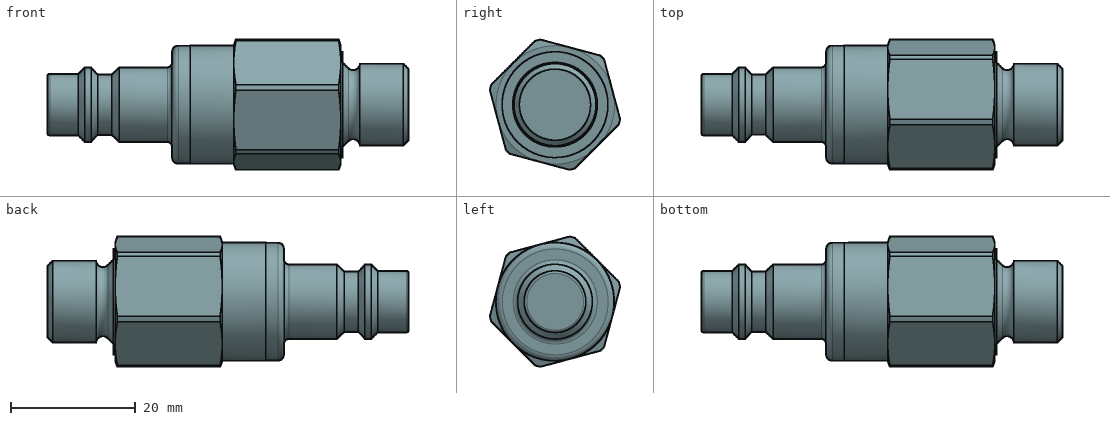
import cadquery as cq
import math

nose_diameter = 9.9
collar_diameter = 12.0
groove_diameter = 9.75
body_front_diameter = 18.95
body_diameter = 19.0
shoulder_diameter = 17.0
thread_diameter = 13.15
relief_diameter = 11.15

nose_end = 5.0
collar_start = 6.05
collar_end = 7.0
groove_start = 8.05
groove_end = 10.3
stem_start = 11.55
body_start = 20.0
body_step = 22.9
hex_start = 29.9
hex_end = 47.1
shoulder_end = 47.4
relief_center = 49.05
total_length = 58

nose_fillet = 0.4
stem_fillet = 0.75
body_fillet = 1.0
thread_chamfer = 0.85
relief_radius = 1.1

across_flats = 19.0
corner_diameter = 21.45
hex_rotation = 15
hex_chamfer_length = 0.35


def axial_cylinder(start, end, diameter):
    return cq.Workplane("YZ").workplane(offset=start).circle(diameter / 2).extrude(end - start)


def make_plug():
    """Turned nose, collar, groove, stem and body, revolved about X."""
    nose = nose_diameter / 2
    collar = collar_diameter / 2
    groove = groove_diameter / 2
    body_front = body_front_diameter / 2
    body = body_diameter / 2
    arc_inset = 1 - math.sqrt(0.5)
    profile = (
        cq.Workplane("XY")
        .lineTo(0, nose - nose_fillet)
        .threePointArc(
            (nose_fillet * arc_inset, nose - nose_fillet * arc_inset),
            (nose_fillet, nose),
        )
        .lineTo(nose_end, nose)
        .lineTo(collar_start, collar)
        .lineTo(collar_end, collar)
        .lineTo(groove_start, groove)
        .lineTo(groove_end, groove)
        .lineTo(stem_start, collar)
        .lineTo(body_start - stem_fillet, collar)
        .threePointArc(
            (body_start - stem_fillet * arc_inset, collar + stem_fillet * arc_inset),
            (body_start, collar + stem_fillet),
        )
        .lineTo(body_start, body_front - body_fillet)
        .threePointArc(
            (body_start + body_fillet * arc_inset, body_front - body_fillet * arc_inset),
            (body_start + body_fillet, body_front),
        )
        .lineTo(body_step, body_front)
        .lineTo(body_step, body)
        .lineTo(hex_start, body)
        .lineTo(hex_start, 0)
        .close()
    )
    return profile.revolve(360, (0, 0, 0), (1, 0, 0))


def make_hex():
    """Hexagon trimmed by a cylinder with a cone at each end."""
    prism = (
        cq.Workplane("YZ")
        .workplane(offset=hex_start)
        .transformed(rotate=(0, 0, 90 + hex_rotation))
        .polygon(6, across_flats / math.cos(math.radians(30)))
        .extrude(hex_end - hex_start)
    )
    corner = corner_diameter / 2
    end_radius = across_flats / 2
    envelope = (
        cq.Workplane("XY")
        .moveTo(hex_start, 0)
        .lineTo(hex_start, end_radius)
        .lineTo(hex_start + hex_chamfer_length, corner)
        .lineTo(hex_end - hex_chamfer_length, corner)
        .lineTo(hex_end, end_radius)
        .lineTo(hex_end, 0)
        .close()
        .revolve(360, (0, 0, 0), (1, 0, 0))
    )
    return prism.intersect(envelope)


def make_thread_end():
    """Plain thread with a rounded relief that runs out in a 45 degree cone at the shoulder."""
    thread = thread_diameter / 2
    relief = relief_diameter / 2
    arc_middle = relief + relief_radius
    diagonal = relief_radius * math.sqrt(0.5)
    cone_end = relief_center - diagonal
    cone_end_radius = arc_middle - diagonal
    thread_start = relief_center + math.sqrt(relief_radius**2 - (arc_middle - thread) ** 2)
    profile = (
        cq.Workplane("XY")
        .moveTo(shoulder_end, 0)
        .lineTo(shoulder_end, cone_end_radius + cone_end - shoulder_end)
        .lineTo(cone_end, cone_end_radius)
        .threePointArc((relief_center, relief), (thread_start, thread))
        .lineTo(total_length - thread_chamfer, thread)
        .lineTo(total_length, thread - thread_chamfer)
        .lineTo(total_length, 0)
        .close()
    )
    return profile.revolve(360, (0, 0, 0), (1, 0, 0))


shoulder = axial_cylinder(hex_end, shoulder_end, shoulder_diameter)
result = make_plug().union(make_hex()).union(shoulder).union(make_thread_end())